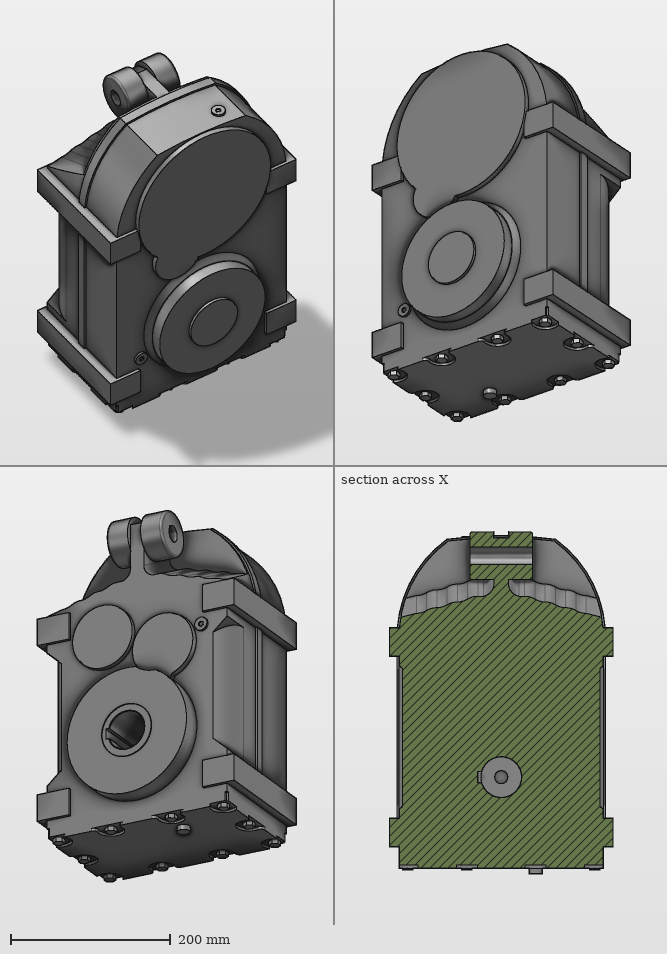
import cadquery as cq
import math


HOUSING_HALF_LENGTH = 77.9
HOUSING_HALF_WIDTH = 128.0
HOUSING_BOTTOM = -110.3
SHOULDER_CENTRE_Z = 175.0
SHOULDER_RADIUS = 149.0
ROOF_CORNER_Y = 66.5
ROOF_TOP = 299.8
CORNER_RELIEF = 2.9
CORNER_RELIEF_HEIGHT = 11.7

CUT_CLEARANCE = 5.0

RIB_START_X = -3.6
RIB_WIDTH = 12.9
RIB_HEIGHT = 2.7
RIB_BOTTOM = -70.0

FOOT_HALF_LENGTH = 82.3
FOOT_HALF_SPAN = 140.0
FOOT_WIDTH = 45.0
FOOT_HEIGHT = 36.0
FOOT_BOTTOMS = (-87.3, 151.3)

RECESS_BACK_X = -8.9
SLOPE_ANGLE = 25.0
WEB_HALF_THICKNESS = 9.3
WEB_FILLET_WIDTH = 12.8
WEB_FILLET_RISE = 15.7
WAVE_START_Y = 106.4
WAVE_START_Z = 195.2
WAVE_HALF_RUN = 12.85
WAVE_HALF_RISE = 3.57
WAVE_COUNT = 3
EDGE_FACET_Z = 189.8
WEB_BEVEL_LENGTH = 19.0
WEB_BEVEL_HEIGHT = 8.7

LUG_X = -56.2
LUG_Z = 277.1
LUG_RADIUS = 30.2
LUG_OUTER_Y = 39.3
LUG_HOLE_DIAMETER = 21.4
LUG_EDGE_FILLET = 2.9

HOLLOW_DEPTH = 20.5
HOLLOW_LENGTH = 42.6
HOLLOW_BOTTOM = -40.2
HOLLOW_TOP = 139.8
HOLLOW_END_RISE = 18.2

FRONT_FLANGE_RADIUS = 84.9
FRONT_FLANGE_X = -105.3
SHAFT_HALF_LENGTH = 106.5
SHAFT_RADIUS = 35.2
BORE_RADIUS = 25.4
BORE_END_X = 95.0
BORE_CHAMFER = 0.8
KEYWAY_WIDTH = 14.0
KEYWAY_END_X = 85.0
KEYWAY_REACH = 29.3
CENTRE_HOLE_RADIUS = 8.2
CENTRE_HOLE_DEPTH = 6.0
COVER_X = -85.0
INPUT_COVER_Y = 45.7
INPUT_COVER_Z = 143.6
INPUT_COVER_RADIUS = 42.4
IDLER_Y = -40.0
IDLER_Z = 115.3
IDLER_COVER_RADIUS = 44.2
IDLER_COVER_TAPER = 10.0
NECK_HALF_WIDTH = 26.8
NECK_FILLET = 4.0
FLANGE_NOTCH_RADIUS = 41.2

REAR_FLANGE_RADIUS = 79.5
REAR_FLANGE_X = 102.5
REAR_PAD_BASE_RADIUS = 87.0
REAR_PAD_TOP_RADIUS = 80.0
REAR_PAD_X = 86.4
MOTOR_PAD_RADIUS = 99.3
MOTOR_PAD_Z = 199.2
REAR_COVER_X = 85.3
REAR_IDLER_RADIUS = 34.0

PLUG_RADIUS = 8.8
PLUG_HEIGHT = 3.0
PLUG_SOCKET = 7.0
PLUG_SOCKET_DEPTH = 2.0
SIDE_PLUG_Y = -92.0
FRONT_PLUG_Z = 135.4
REAR_PLUG_Z = -34.0
VENT_X = 55.7
VENT_Y = 40.4
VENT_TOP = 301.3
DRAIN_RADIUS = 8.3
DRAIN_X = -35.7
DRAIN_Y = -43.3
DRAIN_BOTTOM = -121.2

COVER_BOTTOM = -114.2
BOLT_INSET = 10.7
BOLT_DIAMETER = 15.0
BOLT_HEAD_BOTTOM = -116.2
BOLT_MID_Y = 43.0
BITE_RADIUS = 17.0
BITE_MOUTH_FILLET = 5.5


def disc(radius, x_start, x_end, y=0, z=0):
    """Cylinder along X."""
    return cq.Workplane("YZ", origin=(x_start, 0, 0)).center(y, z).circle(radius).extrude(x_end - x_start)


def arched_block(x_start, x_end, bottom, growth=0.0):
    """Round-shouldered block with a slightly crowned roof, grown outward by `growth`."""
    half_width = HOUSING_HALF_WIDTH + growth
    radius = SHOULDER_RADIUS + growth
    centre_y = HOUSING_HALF_WIDTH - SHOULDER_RADIUS
    corner_y = ROOF_CORNER_Y + growth / 2
    corner_angle = math.acos((corner_y - centre_y) / radius)
    corner_z = SHOULDER_CENTRE_Z + radius * math.sin(corner_angle)
    mid_y = centre_y + radius * math.cos(corner_angle / 2)
    mid_z = SHOULDER_CENTRE_Z + radius * math.sin(corner_angle / 2)
    return (
        cq.Workplane("YZ", origin=(x_start, 0, 0))
        .moveTo(-half_width, bottom)
        .lineTo(half_width, bottom)
        .lineTo(half_width, SHOULDER_CENTRE_Z)
        .threePointArc((mid_y, mid_z), (corner_y, corner_z))
        .threePointArc((0, ROOF_TOP + growth), (-corner_y, corner_z))
        .threePointArc((-mid_y, mid_z), (-half_width, SHOULDER_CENTRE_Z))
        .close()
        .extrude(x_end - x_start)
    )


def make_housing():
    body = arched_block(-HOUSING_HALF_LENGTH, HOUSING_HALF_LENGTH, HOUSING_BOTTOM)
    reliefs = (
        cq.Workplane("XY", origin=(0, 0, HOUSING_BOTTOM))
        .rect(2 * HOUSING_HALF_LENGTH, 2 * HOUSING_HALF_WIDTH, forConstruction=True)
        .vertices()
        .rect(2 * CORNER_RELIEF, 2 * CORNER_RELIEF)
        .extrude(CORNER_RELIEF_HEIGHT)
    )
    return body.cut(reliefs)


def slope_cutter():
    """Space above the corrugated slope on the +Y side, rising along X at the slope angle."""
    clear_y = HOUSING_HALF_WIDTH + CUT_CLEARANCE
    clear_z = ROOF_TOP + CUT_CLEARANCE
    bend = math.atan2(WAVE_HALF_RISE, WAVE_HALF_RUN)
    sagitta = math.hypot(WAVE_HALF_RUN, WAVE_HALF_RISE) / 2 * math.tan(bend / 2)
    offset_y = sagitta * math.sin(bend)
    offset_z = sagitta * math.cos(bend)
    facet_slope = (WAVE_START_Z - EDGE_FACET_Z) / (HOUSING_HALF_WIDTH - WAVE_START_Y)

    profile = cq.Workplane("YZ", origin=(-HOUSING_HALF_LENGTH, 0, 0)).moveTo(clear_y, clear_z)
    profile = profile.lineTo(clear_y, WAVE_START_Z - facet_slope * (clear_y - WAVE_START_Y))
    y, z = WAVE_START_Y, WAVE_START_Z
    profile = profile.lineTo(y, z)
    for step in range(2 * WAVE_COUNT):
        side = -1 if step % 2 == 0 else 1
        middle = (
            y - WAVE_HALF_RUN / 2 + side * offset_y,
            z + WAVE_HALF_RISE / 2 + side * offset_z,
        )
        y -= WAVE_HALF_RUN
        z += WAVE_HALF_RISE
        profile = profile.threePointArc(middle, (y, z))
    fillet_start_y = WEB_HALF_THICKNESS + WEB_FILLET_WIDTH
    fillet_radius = (WEB_FILLET_WIDTH**2 + WEB_FILLET_RISE**2) / (2 * WEB_FILLET_WIDTH)
    half_angle = math.asin(WEB_FILLET_RISE / fillet_radius) / 2
    profile = (
        profile.lineTo(fillet_start_y, z)
        .threePointArc(
            (
                WEB_HALF_THICKNESS + fillet_radius * (1 - math.cos(half_angle)),
                z + WEB_FILLET_RISE - fillet_radius * math.sin(half_angle),
            ),
            (WEB_HALF_THICKNESS, z + WEB_FILLET_RISE),
        )
        .lineTo(WEB_HALF_THICKNESS, clear_z)
        .close()
    )
    run = RECESS_BACK_X + HOUSING_HALF_LENGTH
    rise = run * math.tan(math.radians(SLOPE_ANGLE))
    prism = cq.Solid.extrudeLinear(profile.wires().val(), [], cq.Vector(run, 0, rise))
    return cq.Workplane(prism)


def web_bevel_cutter():
    return (
        cq.Workplane("XZ", origin=(0, WEB_HALF_THICKNESS, 0))
        .moveTo(-HOUSING_HALF_LENGTH, ROOF_TOP - WEB_BEVEL_HEIGHT)
        .lineTo(-HOUSING_HALF_LENGTH + WEB_BEVEL_LENGTH, ROOF_TOP)
        .lineTo(-HOUSING_HALF_LENGTH, ROOF_TOP)
        .close()
        .extrude(2 * WEB_HALF_THICKNESS)
    )


def make_lug():
    """Torque-arm boss on the +Y side of the web."""
    length = LUG_OUTER_Y - WEB_HALF_THICKNESS
    return (
        cq.Workplane("XZ", origin=(LUG_X, WEB_HALF_THICKNESS, LUG_Z))
        .circle(LUG_RADIUS)
        .extrude(-length)
        .faces(">Y")
        .edges()
        .fillet(LUG_EDGE_FILLET)
    )


def lug_hole():
    return (
        cq.Workplane("XZ", origin=(LUG_X, LUG_OUTER_Y, LUG_Z))
        .circle(LUG_HOLE_DIAMETER / 2)
        .extrude(2 * LUG_OUTER_Y)
    )


def hollow_cutter():
    """Hollow on the +Y side: a convex floor rounding inward, between two slanted ends."""
    radius = (HOLLOW_LENGTH**2 + HOLLOW_DEPTH**2) / (2 * HOLLOW_DEPTH)
    half_angle = math.asin(HOLLOW_LENGTH / radius) / 2
    inner_x = HOLLOW_LENGTH - HOUSING_HALF_LENGTH
    floor_y = HOUSING_HALF_WIDTH - HOLLOW_DEPTH
    floor = (
        cq.Workplane("XY", origin=(0, 0, HOLLOW_BOTTOM))
        .moveTo(inner_x, HOUSING_HALF_WIDTH)
        .threePointArc(
            (
                inner_x - radius * math.sin(half_angle),
                HOUSING_HALF_WIDTH - radius * (1 - math.cos(half_angle)),
            ),
            (-HOUSING_HALF_LENGTH, floor_y),
        )
        .lineTo(-HOUSING_HALF_LENGTH, HOUSING_HALF_WIDTH)
        .close()
        .extrude(HOLLOW_TOP - HOLLOW_BOTTOM)
    )
    ends = (
        cq.Workplane("YZ", origin=(-HOUSING_HALF_LENGTH, 0, 0))
        .moveTo(HOUSING_HALF_WIDTH, HOLLOW_BOTTOM)
        .lineTo(HOUSING_HALF_WIDTH, HOLLOW_TOP)
        .lineTo(floor_y, HOLLOW_TOP - HOLLOW_END_RISE)
        .lineTo(floor_y, HOLLOW_BOTTOM + HOLLOW_END_RISE)
        .close()
        .extrude(HOLLOW_LENGTH)
    )
    return floor.intersect(ends)


def make_feet():
    feet = cq.Workplane()
    for bottom in FOOT_BOTTOMS:
        for side in (-1, 1):
            centre = (0, side * (FOOT_HALF_SPAN - FOOT_WIDTH / 2), bottom + FOOT_HEIGHT / 2)
            feet = feet.add(cq.Workplane(origin=centre).box(2 * FOOT_HALF_LENGTH, FOOT_WIDTH, FOOT_HEIGHT))
    return feet.combine()


def make_idler_cover():
    """Tapered round cover with a neck running down toward the output flange."""
    neck_length = math.hypot(IDLER_Y, IDLER_Z) - FRONT_FLANGE_RADIUS / 2
    angle = math.degrees(math.atan2(-IDLER_Z, -IDLER_Y))
    outline = (
        cq.Sketch()
        .circle(IDLER_COVER_RADIUS)
        .push([(neck_length / 2, 0)])
        .rect(neck_length, 2 * NECK_HALF_WIDTH)
        .reset()
        .clean()
    )
    height = -HOUSING_HALF_LENGTH - COVER_X
    junction_x = math.sqrt(IDLER_COVER_RADIUS**2 - NECK_HALF_WIDTH**2)
    margin = 1.0
    junctions = cq.selectors.BoxSelector(
        (junction_x - margin, -IDLER_COVER_RADIUS, -margin),
        (junction_x + margin, IDLER_COVER_RADIUS, margin),
    )
    outline = outline.vertices(junctions).fillet(NECK_FILLET)
    cover = cq.Workplane("XY").placeSketch(outline).extrude(height, taper=IDLER_COVER_TAPER)
    direction = cq.Vector(0, math.cos(math.radians(angle)), math.sin(math.radians(angle)))
    frame = cq.Plane(origin=(-HOUSING_HALF_LENGTH, IDLER_Y, IDLER_Z), xDir=direction, normal=(-1, 0, 0))
    return cq.Workplane(cover.val().moved(cq.Location(frame)))


def make_front_flange():
    flange = disc(FRONT_FLANGE_RADIUS, FRONT_FLANGE_X, -HOUSING_HALF_LENGTH)
    notch = disc(FLANGE_NOTCH_RADIUS, FRONT_FLANGE_X, COVER_X, IDLER_Y, IDLER_Z)
    return flange.cut(notch)


def make_rear_side():
    pad = (
        cq.Workplane("XY")
        .moveTo(HOUSING_HALF_LENGTH, 0)
        .lineTo(HOUSING_HALF_LENGTH, REAR_PAD_BASE_RADIUS)
        .lineTo(REAR_PAD_X, REAR_PAD_TOP_RADIUS)
        .lineTo(REAR_PAD_X, 0)
        .close()
        .revolve(360, (0, 0, 0), (1, 0, 0))
    )
    return (
        disc(REAR_FLANGE_RADIUS, HOUSING_HALF_LENGTH, REAR_FLANGE_X)
        .union(pad)
        .union(disc(MOTOR_PAD_RADIUS, HOUSING_HALF_LENGTH, REAR_COVER_X, 0, MOTOR_PAD_Z))
        .union(disc(REAR_IDLER_RADIUS, HOUSING_HALF_LENGTH, REAR_COVER_X, IDLER_Y, IDLER_Z))
    )


def bore_cutter():
    """Keyed bore with a chamfered mouth, closed at the rear by a centred end plate."""
    bore = disc(BORE_RADIUS, -SHAFT_HALF_LENGTH, BORE_END_X)
    keyway = cq.Workplane("XY").box(
        KEYWAY_END_X + SHAFT_HALF_LENGTH, KEYWAY_REACH, KEYWAY_WIDTH, centered=(False, False, True)
    )
    keyway = keyway.translate((-SHAFT_HALF_LENGTH, 0, 0))
    mouth = (
        cq.Workplane("YZ", origin=(-SHAFT_HALF_LENGTH, 0, 0))
        .circle(BORE_RADIUS + BORE_CHAMFER)
        .workplane(offset=BORE_CHAMFER)
        .circle(BORE_RADIUS)
        .loft()
    )
    centre_hole = disc(CENTRE_HOLE_RADIUS, BORE_END_X, BORE_END_X + CENTRE_HOLE_DEPTH)
    return bore.union(keyway).union(mouth).union(centre_hole)


def make_plug(origin, outward):
    """Round screw plug with a hexagon socket; `origin` lies on its outer face."""
    face = cq.Workplane(cq.Plane(origin=origin, normal=outward))
    body = face.circle(PLUG_RADIUS).extrude(-2 * PLUG_HEIGHT)
    socket = face.polygon(6, PLUG_SOCKET).extrude(-PLUG_SOCKET_DEPTH)
    return body.cut(socket)


def cover_bolt_places():
    """Corner and side positions of the bottom cover bolts."""
    bolt_x = HOUSING_HALF_LENGTH - BOLT_INSET
    bolt_y = HOUSING_HALF_WIDTH - BOLT_INSET
    corner_bolts = [(side_x * bolt_x, side_y * bolt_y) for side_x in (-1, 1) for side_y in (-1, 1)]
    side_bolts = [(side_x * bolt_x, side_y * BOLT_MID_Y) for side_x in (-1, 1) for side_y in (-1, 1)]
    side_bolts += [(0, -bolt_y), (0, bolt_y)]
    return corner_bolts, side_bolts


def make_bottom_cover():
    """Cover plate bitten away around each bolt, with rounded mouths along its sides."""
    corner_bolts, side_bolts = cover_bolt_places()
    thickness = HOUSING_BOTTOM - COVER_BOTTOM
    base = cq.Workplane("XY", origin=(0, 0, COVER_BOTTOM))
    plate = base.rect(2 * HOUSING_HALF_LENGTH, 2 * HOUSING_HALF_WIDTH).extrude(thickness)
    outer_corners = (
        base.rect(2 * HOUSING_HALF_LENGTH, 2 * HOUSING_HALF_WIDTH, forConstruction=True)
        .vertices()
        .rect(2 * BOLT_INSET, 2 * BOLT_INSET)
        .extrude(thickness)
    )
    corner_bites = base.pushPoints(corner_bolts).circle(BITE_RADIUS).extrude(thickness)
    side_bites = base.pushPoints(side_bolts).circle(BITE_RADIUS).extrude(thickness)
    bitten = plate.cut(side_bites).edges("|Z").fillet(BITE_MOUTH_FILLET)
    return bitten.cut(corner_bites).cut(outer_corners)


def make_bottom_fasteners():
    """Hexagon bolt heads of the bottom cover, and the drain plug."""
    corner_bolts, side_bolts = cover_bolt_places()
    bolts = (
        cq.Workplane("XY", origin=(0, 0, BOLT_HEAD_BOTTOM))
        .pushPoints(corner_bolts + side_bolts)
        .polygon(6, BOLT_DIAMETER)
        .extrude(HOUSING_BOTTOM - BOLT_HEAD_BOTTOM)
    )
    drain = (
        cq.Workplane("XY", origin=(DRAIN_X, DRAIN_Y, DRAIN_BOTTOM))
        .circle(DRAIN_RADIUS)
        .extrude(HOUSING_BOTTOM - DRAIN_BOTTOM)
    )
    return bolts.union(drain)


housing = make_housing()
for cutter in (slope_cutter(), hollow_cutter()):
    housing = housing.cut(cutter).cut(cutter.mirror("XZ"))
housing = housing.cut(web_bevel_cutter())

lug = make_lug()
housing = housing.union(lug).union(lug.mirror("XZ")).cut(lug_hole())

rib = arched_block(RIB_START_X, RIB_START_X + RIB_WIDTH, RIB_BOTTOM, RIB_HEIGHT)
housing = housing.union(rib).union(make_feet())

input_cover = disc(INPUT_COVER_RADIUS, COVER_X, -HOUSING_HALF_LENGTH, INPUT_COVER_Y, INPUT_COVER_Z)
housing = housing.union(input_cover).union(make_idler_cover())
housing = housing.union(make_front_flange()).union(make_rear_side())

shaft = disc(SHAFT_RADIUS, -SHAFT_HALF_LENGTH, SHAFT_HALF_LENGTH)
housing = housing.union(shaft).cut(bore_cutter())

plug_face_x = HOUSING_HALF_LENGTH + PLUG_HEIGHT
front_plug = make_plug((-plug_face_x, SIDE_PLUG_Y, FRONT_PLUG_Z), (-1, 0, 0))
rear_plug = make_plug((plug_face_x, SIDE_PLUG_Y, REAR_PLUG_Z), (1, 0, 0))
vent_plug = make_plug((VENT_X, VENT_Y, VENT_TOP), (0, 0, 1))
housing = housing.union(front_plug).union(rear_plug).union(vent_plug)

result = housing.union(make_bottom_cover()).union(make_bottom_fasteners())